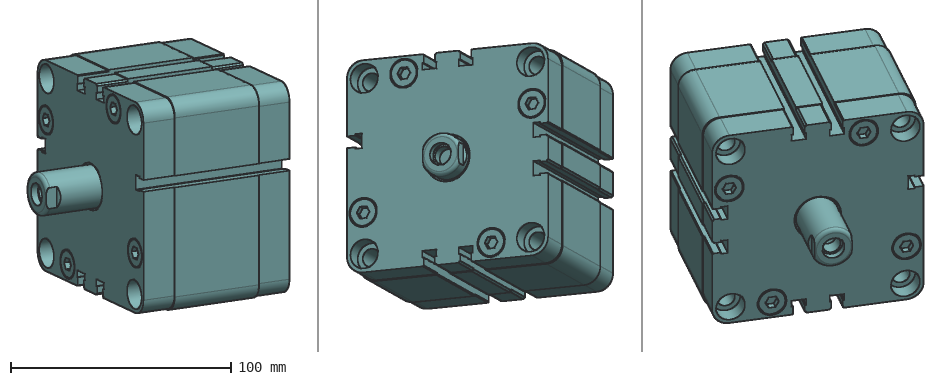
import cadquery as cq
import math

barrel_side = 100.0
barrel_length = 43.8
cap_inset = 0.5
cap_side = barrel_side - 2 * cap_inset
cap_length = 16.0
corner_radius = 8.0

rod_diameter = 20.0
total_length = 112.0
body_length = barrel_length + 2 * cap_length
rear_rod_length = 8.2
front_rod_length = total_length - body_length - rear_rod_length
rod_end_radius = 1.9
flats_width = 17.5
flats_length = 5.7
bore_diameter = 8.4
bore_depth = 11.2
bore_mouth_diameter = 10.3
bore_mouth_depth = 3.6
bore_tip_angle = 118.0
seal_diameter = 22.0
seal_depth = 1.0

slot_offset = 9.0
single_slot_offset = 12.0
slot_depth = 7.7
neck_width = 5.5
neck_depth = 4.6
pocket_width = 6.8
land_edge_bevel = 0.9
side_edge_bevel = 0.5

mount_offset = 41.0
mount_diameter = 8.5
mount_bore_diameter = 13.5
mount_bore_depth = 8.4

screw_far_offset = 41.5
screw_near_offset = 21.5
screw_recess_diameter = 13.5
screw_head_diameter = 12.5
screw_recess_depth = 1.0
hex_across_flats = 5.5
hex_depth = 3.4

front_face = -body_length / 2
rear_face = body_length / 2
rod_front = front_face - front_rod_length
rod_rear = rear_face + rear_rod_length


def plane_at(y):
    """Plane square to Y, with local x = X, local y = Z and its normal along -Y."""
    return cq.Workplane("XZ", origin=(0, y, 0))


def disc(diameter, start, end, points=((0, 0),)):
    return plane_at(end).pushPoints(points).circle(diameter / 2).extrude(end - start)


def block(side, start, end):
    square = plane_at(end).rect(side, side).extrude(end - start)
    return square.edges("|Y").fillet(corner_radius)


def slot(side, offset, start, end, bevelled):
    """Stepped slot in the +Z face of a block of the given side, at X = offset.

    A bevelled slot has both mouth edges broken, the one next to the middle more.
    """
    outer = barrel_side / 2
    length = end - start
    floor = outer - slot_depth
    neck_end = outer - neck_depth
    pocket = plane_at(end).center(offset, (floor + neck_end) / 2)
    pocket = pocket.rect(pocket_width, neck_end - floor).extrude(length)
    neck = plane_at(end).center(offset, (floor + outer) / 2)
    neck = neck.rect(neck_width, slot_depth).extrude(length)
    cutter = pocket.union(neck)
    if bevelled:
        inward = -math.copysign(1, offset)
        for direction, bevel in ((inward, land_edge_bevel), (-inward, side_edge_bevel)):
            cutter = cutter.union(mouth_bevel(side, offset, direction, bevel, start, end))
    return cutter


def mouth_bevel(side, offset, direction, bevel, start, end):
    """Material removed by bevelling one sharp mouth edge."""
    face = side / 2
    wall = offset + direction * neck_width / 2
    outline = [(wall, face - bevel), (wall + direction * bevel, face), (wall, face)]
    return plane_at(end).polyline(outline).close().extrude(end - start)


def section(side, start, end, top_bevelled):
    """One length of the body with its slots."""
    solid = block(side, start, end)
    turns = ((0, top_bevelled), (180, True), (-90, True))
    for turn, bevelled in turns:
        for offset in (-slot_offset, slot_offset):
            cutter = slot(side, offset, start, end, bevelled)
            solid = solid.cut(cutter.rotate((0, 0, 0), (0, 1, 0), turn))
    cutter = slot(side, -single_slot_offset, start, end, False)
    return solid.cut(cutter.rotate((0, 0, 0), (0, 1, 0), 90))


def make_body():
    barrel_end = barrel_length / 2
    barrel = section(barrel_side, -barrel_end, barrel_end, False)
    front_cap = section(cap_side, front_face, -barrel_end, True)
    rear_cap = section(cap_side, barrel_end, rear_face, True)
    return barrel.union(front_cap).union(rear_cap)


def on_both_ends(cutter):
    """A cutter made for the front face, with its mirror image for the rear face."""
    return cutter.union(cutter.mirror("XZ"))


def mounting_holes():
    corners = [(x, z) for x in (-mount_offset, mount_offset) for z in (-mount_offset, mount_offset)]
    through = disc(mount_diameter, front_face, rear_face, corners)
    bores = disc(mount_bore_diameter, front_face, front_face + mount_bore_depth, corners)
    return through.union(on_both_ends(bores))


def screw_recesses():
    """Ring gaps around the flush screw heads, and their hexagon sockets."""
    far, near = screw_far_offset, screw_near_offset
    centers = [(-far, near), (near, far), (far, -near), (-near, -far)]
    floor = front_face + screw_recess_depth
    heads = disc(screw_head_diameter, front_face, floor, centers)
    rings = disc(screw_recess_diameter, front_face, floor, centers).cut(heads)
    hex_corners = hex_across_flats / math.cos(math.pi / 6)
    sockets = plane_at(front_face + hex_depth).pushPoints(centers)
    sockets = sockets.polygon(6, hex_corners).extrude(hex_depth)
    return on_both_ends(rings.union(sockets))


def seal_recesses():
    return on_both_ends(disc(seal_diameter, front_face, front_face + seal_depth))


def flats(end, inward):
    """Two flats at a rod end, running out at 45 degrees."""
    low = flats_width / 2
    high = rod_diameter
    profile = cq.Workplane("XY").polyline([
        (low, end),
        (low, end + inward * flats_length),
        (high, end + inward * (flats_length + high - low)),
        (high, end),
    ]).close().extrude(rod_diameter / 2, both=True)
    return profile.union(profile.mirror("YZ"))


def rod_bore(end, inward):
    """Blind bore with a wider mouth and a drill point."""
    radius = bore_diameter / 2
    mouth = bore_mouth_diameter / 2
    tip = radius / math.tan(math.radians(bore_tip_angle / 2))
    profile = cq.Workplane("XY").polyline([
        (0, end),
        (mouth, end),
        (mouth, end + inward * bore_mouth_depth),
        (radius, end + inward * bore_mouth_depth),
        (radius, end + inward * bore_depth),
        (0, end + inward * (bore_depth + tip)),
    ]).close()
    return profile.revolve(360, (0, 0, 0), (0, 1, 0))


def make_rod():
    rod = disc(rod_diameter, rod_front, rod_rear).edges("%CIRCLE").fillet(rod_end_radius)
    for end, inward in ((rod_front, 1), (rod_rear, -1)):
        rod = rod.cut(flats(end, inward)).cut(rod_bore(end, inward))
    return rod


body = make_body().cut(mounting_holes()).cut(screw_recesses()).cut(seal_recesses())
result = body.union(make_rod())